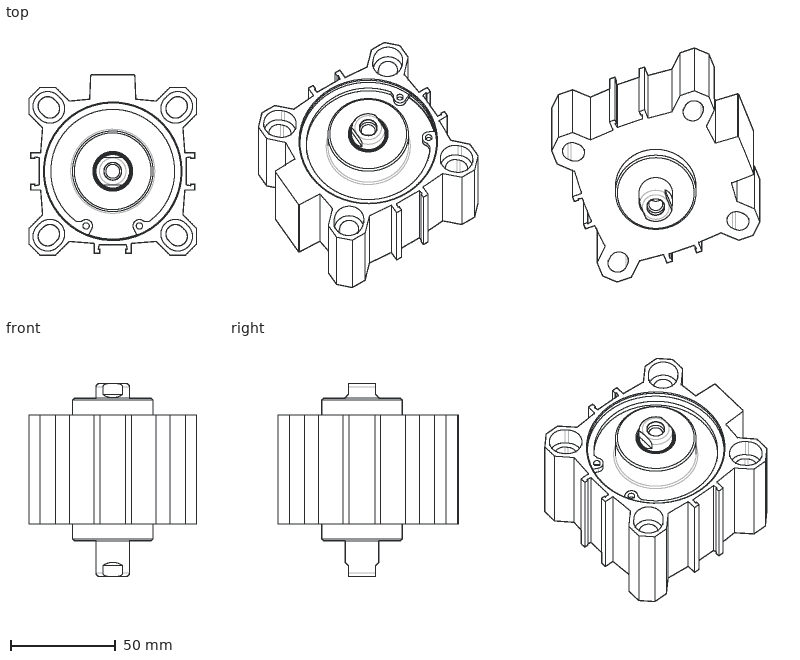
import cadquery as cq
import math


housing_height = 52.0
boss_height = 8.0
rod_top_reach = 7.0
rod_bottom_reach = 17.0
neck_top_z = housing_height + boss_height
rod_top_z = neck_top_z + rod_top_reach
rod_bottom_z = -boss_height - rod_bottom_reach

neck_diameter = 38.5
neck_chamfer = 0.9
neck_root_fillet = 0.8

half_width = 40.0
lug_chamfer = 5.4
lug_start = 27.3
valley_along = 20.7
valley_out = 33.5
rail_wall_out = 34.4
rail_base_out = 35.05
rail_out = 39.1
rail_outer_half = 8.9
rail_lip_half = 6.2
rail_notch_half = 6.8
rail_root_half = 6.4
rail_lip_out = 37.1
port_out = 46.0
port_root_half = 11.0
port_end_half = 10.6
port_edge_chamfer = 0.4

mount_offset = 30.45
mount_width = 9.0
counterbore_width = 14.0
mount_stretch = 1.6
counterbore_depth = 10.5

seat_diameter = 65.1
seat_edge_chamfer = 0.5
cover_diameter = 64.7
ring_diameter = 68.2
ring_inner_diameter = 59.1
ring_thickness = 3.0
ring_recess = 2.8
ring_top_z = housing_height - ring_recess
cover_face_z = ring_top_z - ring_thickness
cover_thickness = 12.0
cover_bottom_z = cover_face_z - cover_thickness
ear_x = 12.7
ear_y = -26.0
ear_radius = 3.0
ear_blend_radius = 1.4
ear_hole_diameter = 3.0
ear_inner_angle = 135
ear_gap_angle = -27
ring_gap_half = 12.2

rod_diameter = 16.0
rod_end_fillet = 1.7
flat_spacing = 13.0
flat_length = 5.2
thread_entry_diameter = 8.3
thread_entry_chamfer = 0.14
thread_entry_depth = 2.8
thread_diameter = 6.6
thread_depth = 14.7
drill_point_angle = 160

wiper_diameter = 18.0
wiper_height = 3.7
wiper_seat_chamfer = 0.5
wiper_groove_outer = 17.7
wiper_groove_inner = 16.6
wiper_groove_depth = 0.9
wiper_top_z = neck_top_z - wiper_seat_chamfer
wiper_bottom_z = wiper_top_z - wiper_height


def disc(diameter, bottom_z, top_z):
    """Solid cylinder on the Z axis."""
    return cq.Workplane("XY").workplane(offset=bottom_z).circle(diameter / 2).extrude(top_z - bottom_z)


def turned(profile):
    """Solid of revolution about Z from (radius, z) points."""
    return cq.Workplane("XZ").polyline(profile).close().revolve(360, (0, 0, 0), (0, 1, 0))


def turn_point(point, quarter_turns):
    """Rotate an (x, y) point about the axis by quarter turns counter-clockwise."""
    x, y = point
    for _ in range(quarter_turns):
        x, y = -y, x
    return x, y


def housing_outline():
    """Counter-clockwise outline: each side as if facing -Y, then turned into place."""
    rail_half = [
        (rail_outer_half, rail_wall_out),
        (rail_outer_half, rail_out),
        (rail_lip_half, rail_out),
        (rail_lip_half, rail_lip_out),
        (rail_notch_half, rail_lip_out),
        (rail_root_half, rail_base_out),
    ]
    port_half = [
        (port_root_half, rail_wall_out),
        (port_end_half, port_out - port_edge_chamfer),
        (port_end_half - port_edge_chamfer, port_out),
    ]
    corner_half = [
        (half_width - lug_chamfer, half_width),
        (lug_start, half_width),
        (valley_along, valley_out),
    ]
    points = []
    for quarter_turns, middle in enumerate([rail_half, rail_half, port_half, rail_half]):
        half_side = corner_half + middle
        left = [(-along, -out) for along, out in half_side]
        right = [(along, -out) for along, out in reversed(half_side)]
        points += [turn_point(point, quarter_turns) for point in left + right]
    return points


def mount_slots(width, bottom_z):
    """Four upright slots, open at the housing top, stretched along the diagonals."""
    radius = mount_offset * math.sqrt(2)
    slots = cq.Workplane("XY")
    for corner in range(4):
        angle = 45 + 90 * corner
        slot = (
            cq.Workplane("XY").workplane(offset=bottom_z)
            .center(radius, 0)
            .slot2D(width + mount_stretch, width)
            .extrude(housing_height - bottom_z)
            .rotate((0, 0, 0), (0, 0, 1), angle)
        )
        slots = slots.add(slot)
    return slots.combine()


def make_housing():
    body = cq.Workplane("XY").polyline(housing_outline()).close().extrude(housing_height)
    lower_neck = disc(neck_diameter, -boss_height, 0).faces("<Z").chamfer(neck_chamfer)
    body = body.union(lower_neck)
    body = body.cut(mount_slots(mount_width, 0))
    body = body.cut(mount_slots(counterbore_width, housing_height - counterbore_depth))
    seat_radius = seat_diameter / 2
    seat = turned([
        (0, cover_bottom_z),
        (seat_radius, cover_bottom_z),
        (seat_radius, housing_height - seat_edge_chamfer),
        (seat_radius + seat_edge_chamfer, housing_height),
        (0, housing_height),
    ])
    body = body.cut(seat)
    body = body.cut(disc(ring_diameter, cover_face_z, ring_top_z))
    return body.cut(disc(rod_diameter, -boss_height, cover_bottom_z))


def make_cover():
    flange = disc(cover_diameter, cover_bottom_z, cover_face_z)
    neck = disc(neck_diameter, cover_face_z, neck_top_z).faces(">Z").chamfer(neck_chamfer)
    cover = flange.union(neck)
    root_edge = cq.selectors.BoxSelector(
        (-neck_diameter, -neck_diameter, cover_face_z - neck_root_fillet),
        (neck_diameter, neck_diameter, cover_face_z + neck_root_fillet),
    )
    cover = cover.edges(root_edge).edges(cq.selectors.RadiusNthSelector(0)).fillet(neck_root_fillet)
    wiper_radius = wiper_diameter / 2
    wiper_seat = turned([
        (0, wiper_bottom_z),
        (wiper_radius, wiper_bottom_z),
        (wiper_radius, wiper_top_z),
        (wiper_radius + wiper_seat_chamfer, neck_top_z),
        (0, neck_top_z),
    ])
    return cover.cut(wiper_seat).cut(disc(rod_diameter, cover_bottom_z, neck_top_z))


def make_retaining_ring():
    """Open ring with a drilled ear at each side of its gap."""
    outer_radius = ring_diameter / 2
    inner_radius = ring_inner_diameter / 2

    def left_ear_point(angle):
        turn = math.radians(angle)
        return -ear_x + ear_radius * math.cos(turn), ear_y + ear_radius * math.sin(turn)

    def mirrored(point):
        return -point[0], point[1]

    gap_end = (-ring_gap_half, -math.sqrt(outer_radius**2 - ring_gap_half**2))
    ear_gap = left_ear_point(ear_gap_angle)
    ear_middle = left_ear_point((ear_gap_angle + ear_inner_angle) / 2)
    ear_inner = left_ear_point(ear_inner_angle)
    inner_end = (-math.sqrt(inner_radius**2 - ear_inner[1]**2), ear_inner[1])
    ring = (
        cq.Workplane("XY").workplane(offset=cover_face_z)
        .moveTo(*mirrored(gap_end))
        .threePointArc((0, outer_radius), gap_end)
        .lineTo(*ear_gap)
        .threePointArc(ear_middle, ear_inner)
        .lineTo(*inner_end)
        .threePointArc((0, inner_radius), mirrored(inner_end))
        .lineTo(*mirrored(ear_inner))
        .threePointArc(mirrored(ear_middle), mirrored(ear_gap))
        .close()
        .pushPoints([(-ear_x, ear_y), (ear_x, ear_y)])
        .circle(ear_hole_diameter / 2)
        .extrude(ring_thickness)
    )
    middle_z = cover_face_z + ring_thickness / 2
    for corner in [ear_inner, mirrored(ear_inner)]:
        corner_edge = cq.selectors.NearestToPointSelector((*corner, middle_z))
        ring = ring.edges("|Z").edges(corner_edge).fillet(ear_blend_radius)
    return ring


def wrench_flat():
    """Cutter for the flat facing -Y at the upper rod end, running out at 45 degrees."""
    flat_y = -flat_spacing / 2
    flat_bottom_z = rod_top_z - flat_length
    runout = rod_diameter - flat_spacing
    return (
        cq.Workplane("YZ")
        .polyline([
            (flat_y, rod_top_z),
            (flat_y, flat_bottom_z),
            (flat_y - runout, flat_bottom_z - runout),
            (flat_y - runout, rod_top_z),
        ])
        .close()
        .extrude(rod_diameter / 2, both=True)
    )


def thread_bore():
    """Cutter for the blind tapped hole in the upper rod end."""
    entry_radius = thread_entry_diameter / 2
    thread_radius = thread_diameter / 2
    entry_bottom_z = rod_top_z - thread_entry_depth
    thread_bottom_z = rod_top_z - thread_depth
    point_height = thread_radius / math.tan(math.radians(drill_point_angle / 2))
    return turned([
        (0, rod_top_z),
        (entry_radius + thread_entry_chamfer, rod_top_z),
        (entry_radius, rod_top_z - thread_entry_chamfer),
        (entry_radius, entry_bottom_z),
        (thread_radius, entry_bottom_z - (entry_radius - thread_radius)),
        (thread_radius, thread_bottom_z),
        (0, thread_bottom_z - point_height),
    ])


def make_rod():
    """Through rod with rounded ends; both ends carry two flats and a tapped hole."""
    rod = disc(rod_diameter, rod_bottom_z, rod_top_z).faces("<Z or >Z").edges().fillet(rod_end_fillet)
    middle = (0, 0, (rod_top_z + rod_bottom_z) / 2)
    front_flat = wrench_flat()
    upper_cutters = [front_flat, front_flat.mirror("XZ"), thread_bore()]
    for cutter in upper_cutters:
        rod = rod.cut(cutter).cut(cutter.mirror("XY", middle))
    return rod


def make_wiper():
    """Ring around the rod in the upper neck, with a V groove behind its lip."""
    groove_middle = (wiper_groove_outer + wiper_groove_inner) / 4
    return turned([
        (rod_diameter / 2, wiper_bottom_z),
        (wiper_diameter / 2, wiper_bottom_z),
        (wiper_diameter / 2, wiper_top_z),
        (wiper_groove_outer / 2, wiper_top_z),
        (groove_middle, wiper_top_z - wiper_groove_depth),
        (wiper_groove_inner / 2, wiper_top_z),
        (rod_diameter / 2, wiper_top_z),
    ])


housing = make_housing()
cover = make_cover()
retaining_ring = make_retaining_ring()
rod = make_rod()
wiper = make_wiper()

result = cq.Compound.makeCompound([
    housing.val(),
    cover.val(),
    retaining_ring.val(),
    rod.val(),
    wiper.val(),
])